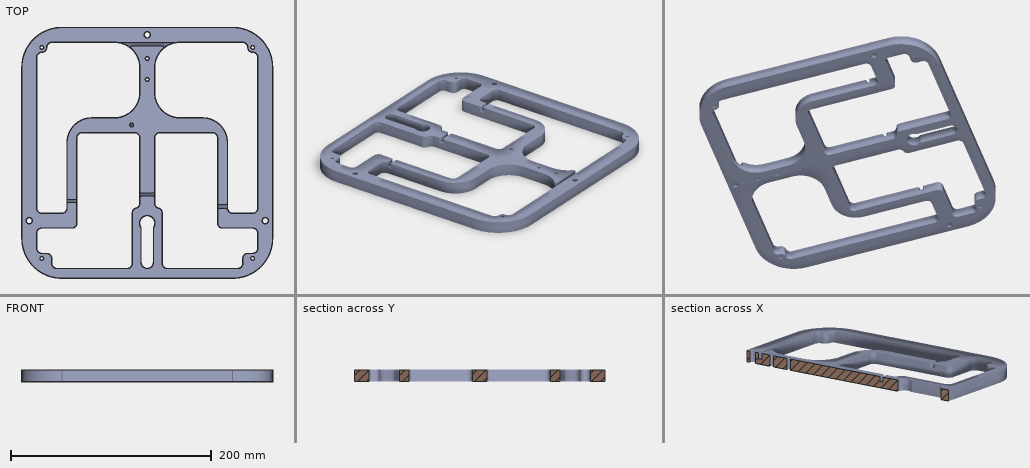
import cadquery as cq
import math

side = 250.0
thickness = 12.0
outer_radius = 40.0
half_side = side / 2

rail_width = 15.0
front_rail_width = 10.0
inner_half = half_side - rail_width
front_inner_y = -half_side + front_rail_width
corner_radius = 5.0

lug_hole_offset = 105.0
rear_lug_edge = 100.0
front_lug_edge_x = 95.0
front_lug_edge_y = -100.0

column_half = 7.5
sweep_radius = 25.0
cross_rear_y = 35.0
cross_front_y = 20.0
arm_outer_x = 80.0
arm_inner_x = 70.0
foot_rear_y = -60.0
foot_front_y = -75.0

base_half = 15.0
shoulder_middle_y = -55.0
shoulder_step = base_half - column_half
shoulder_turn = math.acos(1 - shoulder_step / (2 * corner_radius))
shoulder_drop = shoulder_step / math.tan(shoulder_turn)
slot_half = 6.0
slot_head_radius = 7.5
slot_head_y = -70.0

mount_hole_diameter = 6.0
mount_hole_offset = half_side - rail_width / 2
side_hole_y = (foot_rear_y + foot_front_y) / 2
lug_hole_diameter = 3.5
column_hole_ys = (94.0, 73.0)
pilot_hole_diameter = 4.0
pilot_hole_x = -15.5
pilot_hole_y = 27.8
pilot_hole_depth = 8.0

rear_groove_depth = 6.0
groove_depth = 5.0
groove_width = 3.0
column_mouth_radius = 2.0
arm_mouth_radius = 1.5
column_groove_y = -41.5
left_groove_y = -48.0
right_groove_y = -53.5
right_groove_width = 4.0
rear_groove_width = 3.5
tongue_half = 16.0
tongue_shoulder_y = 103.0

coincidence = 1e-6


def rounded_prism(corners):
    """Extrude an outline of (x, y, radius) corners, each rounded by a tangent arc."""
    arcs = []
    for i, (x, y, radius) in enumerate(corners):
        x_before, y_before, _ = corners[i - 1]
        x_after, y_after, _ = corners[(i + 1) % len(corners)]
        to_before = cq.Vector(x_before - x, y_before - y).normalized()
        to_after = cq.Vector(x_after - x, y_after - y).normalized()
        corner = cq.Vector(x, y)
        inward = (to_before + to_after).normalized()
        half_turn = (math.pi - to_before.getAngle(to_after)) / 2
        setback = radius * math.tan(half_turn)
        start = corner + to_before * setback
        middle = corner + inward * (radius / math.cos(half_turn) - radius)
        end = corner + to_after * setback
        arcs.append((start, middle, end))

    first_start = arcs[0][0]
    outline = cq.Workplane("XY").moveTo(first_start.x, first_start.y)
    position = first_start
    for start, middle, end in arcs:
        if (start - position).Length > coincidence:
            outline = outline.lineTo(start.x, start.y)
        outline = outline.threePointArc(middle.toTuple()[:2], end.toTuple()[:2])
        position = end
    return outline.close().extrude(thickness)


def rear_window():
    """Left opening behind the cross bar, between frame, column and arm."""
    r = corner_radius
    return rounded_prism([
        (-column_half, inner_half, sweep_radius),
        (-rear_lug_edge, inner_half, r),
        (-rear_lug_edge, rear_lug_edge, r),
        (-inner_half, rear_lug_edge, r),
        (-inner_half, foot_rear_y, r),
        (-arm_outer_x, foot_rear_y, r),
        (-arm_outer_x, cross_rear_y, sweep_radius),
        (-column_half, cross_rear_y, sweep_radius),
    ])


def front_window():
    """Left opening in front of the cross bar, wrapping around the arm's foot."""
    r = corner_radius
    return rounded_prism([
        (-column_half, cross_front_y, r),
        (-arm_inner_x, cross_front_y, r),
        (-arm_inner_x, foot_front_y, r),
        (-inner_half, foot_front_y, r),
        (-inner_half, front_lug_edge_y, r),
        (-front_lug_edge_x, front_lug_edge_y, r),
        (-front_lug_edge_x, front_inner_y, r),
        (-base_half, front_inner_y, r),
        (-base_half, shoulder_middle_y - shoulder_drop / 2, r),
        (-column_half, shoulder_middle_y + shoulder_drop / 2, r),
    ])


def keyhole_slot():
    """Slot along the column base with a wider round head at its rear end."""
    slot_end_y = front_inner_y + slot_half
    head = cq.Workplane("XY").center(0, slot_head_y).circle(slot_head_radius).extrude(thickness)
    end = cq.Workplane("XY").center(0, slot_end_y).circle(slot_half).extrude(thickness)
    length = slot_head_y - slot_end_y
    channel = (
        cq.Workplane("XY").center(0, slot_end_y + length / 2)
        .rect(2 * slot_half, length).extrude(thickness)
    )
    return channel.union(head).union(end)


def holes(points, diameter, depth=thickness):
    """Round holes of the given depth, measured from the top face."""
    return (
        cq.Workplane("XY").workplane(offset=thickness - depth)
        .pushPoints(points).circle(diameter / 2).extrude(depth)
    )


def top_cut(x_min, x_max, y_min, y_max):
    """Rectangular cut from the rear groove's floor up, open at the top face."""
    return (
        cq.Workplane("XY").box(x_max - x_min, y_max - y_min, rear_groove_depth, centered=False)
        .translate((x_min, y_min, thickness - rear_groove_depth))
    )


def cross_groove(x_min, x_max, y_middle, width, mouth_radius):
    """Groove running across a bar in X, its mouth flared by a round at each upright corner."""
    half = width / 2
    r = mouth_radius
    bulge = r * (1 - math.sqrt(0.5))
    half_length = (x_max - x_min) / 2
    outline = (
        cq.Workplane("XY").workplane(offset=thickness - groove_depth)
        .center((x_min + x_max) / 2, y_middle)
        .moveTo(r - half_length, half)
        .lineTo(half_length - r, half)
        .threePointArc((half_length - bulge, half + bulge), (half_length, half + r))
        .lineTo(half_length, -half - r)
        .threePointArc((half_length - bulge, -half - bulge), (half_length - r, -half))
        .lineTo(r - half_length, -half)
        .threePointArc((bulge - half_length, -half - bulge), (-half_length, -half - r))
        .lineTo(-half_length, half + r)
        .threePointArc((bulge - half_length, half + bulge), (r - half_length, half))
        .close()
    )
    return outline.extrude(groove_depth)


def rear_groove():
    """Groove between column and rear rail, stepped forward beside the column's tongue."""
    reach = column_half + sweep_radius
    groove = top_cut(-reach, reach, inner_half - rear_groove_width, inner_half)
    left_step = top_cut(-reach, -tongue_half, tongue_shoulder_y, inner_half)
    return groove.union(left_step).union(left_step.mirror("YZ"))


plate = cq.Workplane("XY").rect(side, side).extrude(thickness).edges("|Z").fillet(outer_radius)

for window in (rear_window(), front_window()):
    plate = plate.cut(window).cut(window.mirror("YZ"))

plate = plate.cut(keyhole_slot())

mount_points = [
    (0, mount_hole_offset),
    (-mount_hole_offset, side_hole_y),
    (mount_hole_offset, side_hole_y),
]
lug_points = [(sx * lug_hole_offset, sy * lug_hole_offset) for sx in (-1, 1) for sy in (-1, 1)]
column_points = [(0, y) for y in column_hole_ys]
plate = plate.cut(holes(mount_points, mount_hole_diameter))
plate = plate.cut(holes(lug_points + column_points, lug_hole_diameter))
plate = plate.cut(holes([(pilot_hole_x, pilot_hole_y)], pilot_hole_diameter, pilot_hole_depth))

plate = plate.cut(rear_groove())
plate = plate.cut(
    cross_groove(-column_half, column_half, column_groove_y, groove_width, column_mouth_radius)
)
plate = plate.cut(
    cross_groove(-arm_outer_x, -arm_inner_x, left_groove_y, groove_width, arm_mouth_radius)
)
plate = plate.cut(
    cross_groove(arm_inner_x, arm_outer_x, right_groove_y, right_groove_width, arm_mouth_radius)
)

result = plate